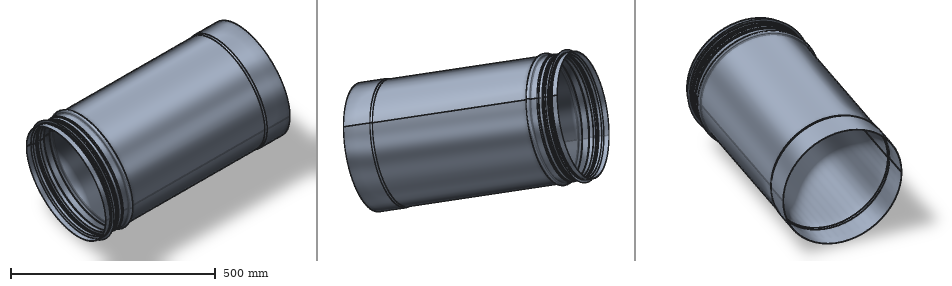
import cadquery as cq
import math

LENGTH = 570.0
SPIGOT_END = -LENGTH / 2
SOCKET_END = LENGTH / 2

WALL = 2.0
DUCT_RADIUS = 316.5 / 2
SLIT_WIDTH = 0.5

SOCKET_RADIUS = DUCT_RADIUS + WALL
SOCKET_LENGTH = 70.5
SOCKET_TAPER = 5.5

BEAD_AT = 77.0
BEAD_HALF_WIDTH = 6.0
BEAD_HEIGHT = 5.5
BEAD_ROOT_RADIUS = 0.3

GROOVE_DEPTH = 4.3
GROOVE_SIDE = 4.0
FRONT_GROOVE_AT = (13.5, 31.5)
REAR_GROOVE_AT = (35.5, 54.0)
FLOOR_RADIUS = DUCT_RADIUS - GROOVE_DEPTH

SEAL_GAP = 1.5
COLLAR_RADIUS = 316.0 / 2
COLLAR_WIDTH = 1.5
FRONT_BAND_RADIUS = 312.0 / 2
REAR_BAND_RADIUS = 157.5
LIP_RADIUS = 329.5 / 2
LIP_THICKNESS = 0.5


def revolve_section(section):
    """Close a section drawn in the XY plane and turn it fully about the Y axis."""
    return section.close().revolve(360, (0, 0, 0), (0, 1, 0))


def add_groove(section, radius, groove):
    """Continue a section along the duct through one groove."""
    start = SPIGOT_END + groove[0]
    end = SPIGOT_END + groove[1]
    floor = radius - GROOVE_DEPTH
    return (
        section.lineTo(radius, start)
        .lineTo(floor, start + GROOVE_SIDE)
        .lineTo(floor, end - GROOVE_SIDE)
        .lineTo(radius, end)
    )


def add_bead(section, radius, root_radius):
    """Continue a section over the bead: a crest arc with a tangent root arc on either side."""
    centre = SPIGOT_END + BEAD_AT
    start = centre - BEAD_HALF_WIDTH
    end = centre + BEAD_HALF_WIDTH
    root_angle = 2 * math.atan2(BEAD_HEIGHT, BEAD_HALF_WIDTH)

    def root_rise(angle):
        return radius + root_radius * (1 - math.cos(angle))

    def root_run(angle):
        return root_radius * math.sin(angle)

    return (
        section.lineTo(radius, start)
        .threePointArc(
            (root_rise(root_angle / 2), start + root_run(root_angle / 2)),
            (root_rise(root_angle), start + root_run(root_angle)),
        )
        .threePointArc(
            (radius + BEAD_HEIGHT, centre),
            (root_rise(root_angle), end - root_run(root_angle)),
        )
        .threePointArc(
            (root_rise(root_angle / 2), end - root_run(root_angle / 2)),
            (radius, end),
        )
    )


def solid_inside(inset):
    """Solid bounded by the sheet surface that lies `inset` below the outer one."""
    radius = DUCT_RADIUS - inset
    socket_radius = SOCKET_RADIUS - inset
    socket_start = SOCKET_END - SOCKET_LENGTH
    section = cq.Workplane("XY").moveTo(0, SPIGOT_END).lineTo(radius, SPIGOT_END)
    section = add_groove(section, radius, FRONT_GROOVE_AT)
    section = add_groove(section, radius, REAR_GROOVE_AT)
    section = add_bead(section, radius, BEAD_ROOT_RADIUS + inset)
    section = (
        section.lineTo(radius, socket_start - SOCKET_TAPER)
        .lineTo(socket_radius, socket_start)
        .lineTo(socket_radius, SOCKET_END)
        .lineTo(0, SOCKET_END)
    )
    return revolve_section(section)


def make_duct():
    """Rolled sheet, open along the slit on its -X side."""
    slit = (
        cq.Workplane("XY")
        .box(LIP_RADIUS, LENGTH, SLIT_WIDTH)
        .translate((-LIP_RADIUS / 2, 0, 0))
    )
    return solid_inside(0).cut(solid_inside(WALL)).cut(slit)


def make_ring(outline):
    """Ring turned from (radius, distance from the spigot end) corners."""
    return revolve_section(
        cq.Workplane("XY").polyline([(radius, SPIGOT_END + at) for radius, at in outline])
    )


def make_front_seal():
    """Ring whose collar faces the spigot end, with a thin lip standing out behind the collar."""
    start = FRONT_GROOVE_AT[0] + GROOVE_SIDE
    lip_start = start + COLLAR_WIDTH
    lip_end = lip_start + LIP_THICKNESS
    end = FRONT_GROOVE_AT[1] - GROOVE_SIDE - SEAL_GAP
    return make_ring([
        (FLOOR_RADIUS, start),
        (COLLAR_RADIUS, start),
        (COLLAR_RADIUS, lip_start),
        (LIP_RADIUS, lip_start),
        (LIP_RADIUS, lip_end),
        (FRONT_BAND_RADIUS, lip_end),
        (FRONT_BAND_RADIUS, end),
        (FLOOR_RADIUS, end),
    ])


def make_rear_seal():
    """Ring whose collar faces the stop bead."""
    start = REAR_GROOVE_AT[0] + GROOVE_SIDE + SEAL_GAP
    end = REAR_GROOVE_AT[1] - GROOVE_SIDE
    collar_start = end - COLLAR_WIDTH
    return make_ring([
        (FLOOR_RADIUS, start),
        (REAR_BAND_RADIUS, start),
        (REAR_BAND_RADIUS, collar_start),
        (COLLAR_RADIUS, collar_start),
        (COLLAR_RADIUS, end),
        (FLOOR_RADIUS, end),
    ])


duct = make_duct()
front_seal = make_front_seal()
rear_seal = make_rear_seal()

result = cq.Compound.makeCompound([duct.val(), front_seal.val(), rear_seal.val()])